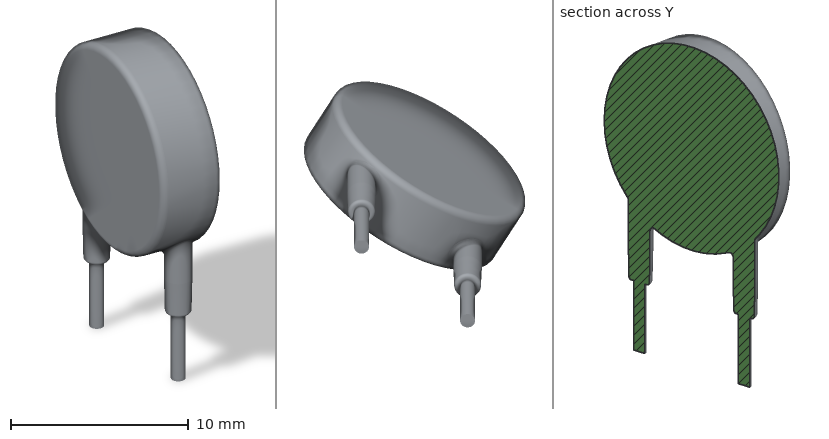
import cadquery as cq
import math

disc_diameter = 12.5
disc_thickness = 3.86
disc_edge_radius = 0.4
disc_tilt = 7.7

lead_pitch = 7.55
wire_diameter = 0.84
wire_end_z = -13.5

sleeve_diameter = 1.6
sleeve_tip_diameter = 1.5
sleeve_taper_start_z = -7.02
sleeve_tip_z = -9.25
sleeve_tip_radius = 0.2
sleeve_root_radius = 0.2

disc_radius = disc_diameter / 2
lead_positions = (-lead_pitch / 2, lead_pitch / 2)

sleeve_outer_x = lead_pitch / 2 + sleeve_diameter / 2
seam_top_z = -math.sqrt(disc_radius**2 - sleeve_outer_x**2)
sleeve_sink_depth = 1.6
sleeve_top_z = seam_top_z + sleeve_sink_depth


def make_disc():
    """Disc with rounded rims, turned about Z."""
    front_face_y = -disc_thickness / 2
    disc = cq.Workplane("XZ", origin=(0, front_face_y, 0)).circle(disc_radius).extrude(-disc_thickness)
    disc = disc.faces("<Y or >Y").edges().fillet(disc_edge_radius)
    return disc.rotate((0, 0, 0), (0, 0, 1), -disc_tilt)


def make_straight_sleeve(x):
    """Straight part of a sleeve, from inside the disc to the start of the taper."""
    height = sleeve_top_z - sleeve_taper_start_z
    return (
        cq.Workplane("XY", origin=(x, 0, sleeve_taper_start_z))
        .circle(sleeve_diameter / 2)
        .extrude(height)
    )


def make_tapered_lead(x):
    """Tapered sleeve end with a rounded tip, and the bare wire below it."""
    taper = (
        cq.Workplane("XY", origin=(x, 0, sleeve_taper_start_z))
        .circle(sleeve_diameter / 2)
        .workplane(offset=sleeve_tip_z - sleeve_taper_start_z)
        .circle(sleeve_tip_diameter / 2)
        .loft()
    )
    taper = taper.faces("<Z").edges().fillet(sleeve_tip_radius)
    wire = (
        cq.Workplane("XY", origin=(x, 0, wire_end_z))
        .circle(wire_diameter / 2)
        .extrude(sleeve_taper_start_z - wire_end_z)
    )
    return taper.union(wire)


def fillet_sleeve_roots(body):
    """Round the seams where the sleeves meet the rim of the disc."""
    seam_reach = sleeve_diameter
    for x in lead_positions:
        seam_z = -math.sqrt(disc_radius**2 - x**2)
        seam_box = cq.selectors.BoxSelector(
            (x - seam_reach, -seam_reach, seam_z - seam_reach),
            (x + seam_reach, seam_reach, seam_z + seam_reach),
        )
        seam = body.edges(seam_box).edges("not(%LINE or %CIRCLE)")
        body = seam.fillet(sleeve_root_radius)
    return body


body = make_disc()
for lead_x in lead_positions:
    body = body.union(make_straight_sleeve(lead_x))
body = fillet_sleeve_roots(body)
for lead_x in lead_positions:
    body = body.union(make_tapered_lead(lead_x))

result = body